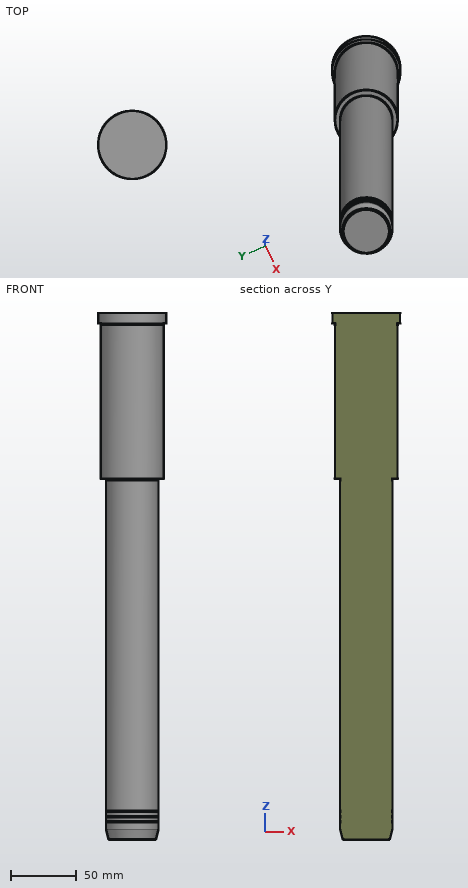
import cadquery as cq

total_length = 400.0
head_diameter = 52.0
sleeve_diameter = 48.0
rod_diameter = 40.0

head_thickness = 8.0
head_and_sleeve_length = 126.0

taper_height = 8.0
tip_diameter = 36.0
tip_edge_chamfer = 1.0

sleeve_edge_chamfer = 0.5

groove_count = 3
groove_width = 1.0
groove_depth = 0.5
lowest_groove_center = 13.5
groove_pitch = 4.0


def cylinder(diameter, bottom, top):
    """Solid cylinder on the Z axis between two heights."""
    return cq.Workplane("XY").workplane(offset=bottom).circle(diameter / 2).extrude(top - bottom)


def tapered_tip():
    """Cone frustum that widens from the tip to the rod, with its bottom edge broken."""
    return (
        cq.Workplane("XY")
        .circle(tip_diameter / 2)
        .workplane(offset=taper_height)
        .circle(rod_diameter / 2)
        .loft(ruled=True)
        .faces("<Z")
        .chamfer(tip_edge_chamfer)
    )


def ring_groove(diameter, center):
    """Ring of material to cut from a shaft of the given diameter at the given height."""
    bottom = center - groove_width / 2
    top = center + groove_width / 2
    core = cylinder(diameter - 2 * groove_depth, bottom, top)
    return cylinder(diameter, bottom, top).cut(core)


sleeve_bottom = total_length - head_and_sleeve_length
head_bottom = total_length - head_thickness

sleeve = cylinder(sleeve_diameter, sleeve_bottom, head_bottom).faces("<Z").chamfer(sleeve_edge_chamfer)

result = (
    tapered_tip()
    .union(cylinder(rod_diameter, taper_height, sleeve_bottom))
    .union(sleeve)
    .union(cylinder(head_diameter, head_bottom, total_length))
)

for index in range(groove_count):
    result = result.cut(ring_groove(rod_diameter, lowest_groove_center + index * groove_pitch))

for shaft_diameter, shoulder in ((rod_diameter, sleeve_bottom), (sleeve_diameter, head_bottom)):
    result = result.cut(ring_groove(shaft_diameter, shoulder - groove_width / 2))